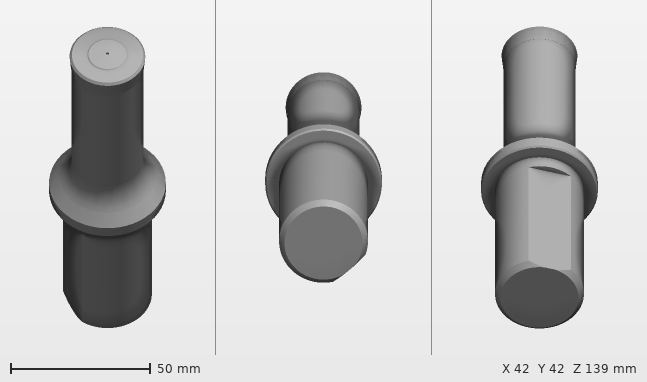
import cadquery as cq
import math

total_height = 139.0
head_bottom = 131.2
head_edge_height = 138.3
neck_bottom = 79.0
flange_bottom = 60.2

shank_radius = 32.0 / 2
shank_chamfer_width = 2.0
shank_chamfer_height = 2.0
flat_offset = 13.9
flat_top = 55.0

flange_radius = 42.0 / 2
flange_chamfer = 0.5
neck_radius = 26.0 / 2
neck_fillet_radius = 13.9

head_bottom_radius = 13.0
head_radius = 13.6
head_chamfer_width = 0.8
head_chamfer_height = 0.8
boss_bottom_radius = 7.2
boss_top_radius = 6.8
boss_bottom = 138.5
boss_edge_height = 138.7
center_hole_radius = 0.5
center_hole_depth = 0.7


def make_holder():
    """Turned shank, flange and neck, with a driving flat on the -Y side."""
    fillet_angle = math.radians(45)
    fillet_half_angle = fillet_angle / 2
    fillet_center_radius = neck_radius + neck_fillet_radius
    fillet_end = (
        fillet_center_radius - neck_fillet_radius * math.cos(fillet_angle),
        neck_bottom - neck_fillet_radius * math.sin(fillet_angle),
    )
    fillet_middle = (
        fillet_center_radius - neck_fillet_radius * math.cos(fillet_half_angle),
        neck_bottom - neck_fillet_radius * math.sin(fillet_half_angle),
    )
    flange_top = fillet_end[1] - (flange_radius - fillet_end[0])

    body = (
        cq.Workplane("XZ")
        .moveTo(0, 0)
        .lineTo(shank_radius - shank_chamfer_width, 0)
        .lineTo(shank_radius, shank_chamfer_height)
        .lineTo(shank_radius, flange_bottom)
        .lineTo(flange_radius - flange_chamfer, flange_bottom)
        .lineTo(flange_radius, flange_bottom + flange_chamfer)
        .lineTo(flange_radius, flange_top)
        .lineTo(*fillet_end)
        .threePointArc(fillet_middle, (neck_radius, neck_bottom))
        .lineTo(neck_radius, head_bottom)
        .lineTo(0, head_bottom)
        .close()
        .revolve(360, (0, 0, 0), (0, 1, 0))
    )

    flat_cutter = cq.Workplane("XY").box(
        2 * shank_radius, shank_radius, flat_top, centered=(True, False, False)
    ).translate((0, -flat_offset - shank_radius, 0))
    return body.cut(flat_cutter)


def make_head():
    """Tapered cap with a chamfered rim, a low conical boss and a small blind center hole."""
    center_hole_bottom = total_height - center_hole_depth
    return (
        cq.Workplane("XZ")
        .moveTo(0, head_bottom)
        .lineTo(head_bottom_radius, head_bottom)
        .lineTo(head_radius, head_edge_height - head_chamfer_height)
        .lineTo(head_radius - head_chamfer_width, head_edge_height)
        .lineTo(boss_bottom_radius, boss_bottom)
        .lineTo(boss_top_radius, boss_edge_height)
        .lineTo(center_hole_radius, total_height)
        .lineTo(center_hole_radius, center_hole_bottom)
        .lineTo(0, center_hole_bottom)
        .close()
        .revolve(360, (0, 0, 0), (0, 1, 0))
    )


holder = make_holder()
head = make_head()

result = cq.Compound.makeCompound([holder.val(), head.val()])